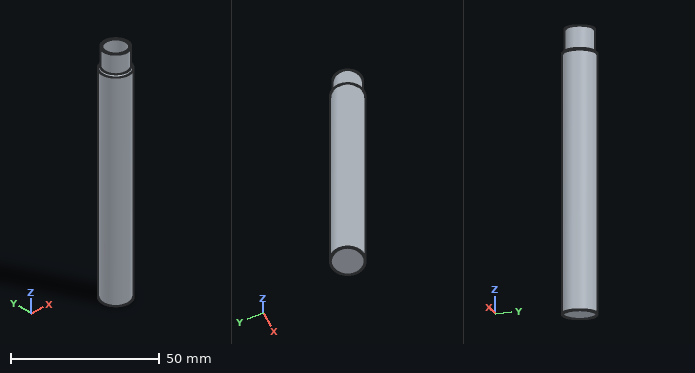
import cadquery as cq
import math

total_length = 100.0
body_radius = 12.0 / 2
foot_chamfer = 0.25

neck_radius = 10.4 / 2
neck_length = 8.0
shoulder_height = body_radius - neck_radius

bore_radius = 9.2 / 2
bore_depth = 20.0
drill_point_angle = 118.0

rim_chamfer = 0.2


def revolve_about_z(half_profile):
    """Turn a closed X-Z half profile once around the Z axis."""
    return half_profile.revolve(360, (0, 0, 0), (0, 1, 0))


def make_rod():
    """Solid rod: chamfered foot, straight body, shoulder and chamfered neck."""
    neck_bottom = total_length - neck_length
    half_profile = (
        cq.Workplane("XZ")
        .lineTo(body_radius - foot_chamfer, 0)
        .lineTo(body_radius, foot_chamfer)
        .lineTo(body_radius, neck_bottom - shoulder_height)
        .lineTo(neck_radius, neck_bottom)
        .lineTo(neck_radius, total_length - rim_chamfer)
        .lineTo(neck_radius - rim_chamfer, total_length)
        .lineTo(0, total_length)
        .close()
    )
    return revolve_about_z(half_profile)


def make_bore():
    """Bore volume: drill-point cone, cylinder and chamfered mouth."""
    bore_bottom = total_length - bore_depth
    point_height = bore_radius / math.tan(math.radians(drill_point_angle / 2))
    half_profile = (
        cq.Workplane("XZ")
        .moveTo(0, bore_bottom - point_height)
        .lineTo(bore_radius, bore_bottom)
        .lineTo(bore_radius, total_length - rim_chamfer)
        .lineTo(bore_radius + rim_chamfer, total_length)
        .lineTo(0, total_length)
        .close()
    )
    return revolve_about_z(half_profile)


result = make_rod().cut(make_bore())